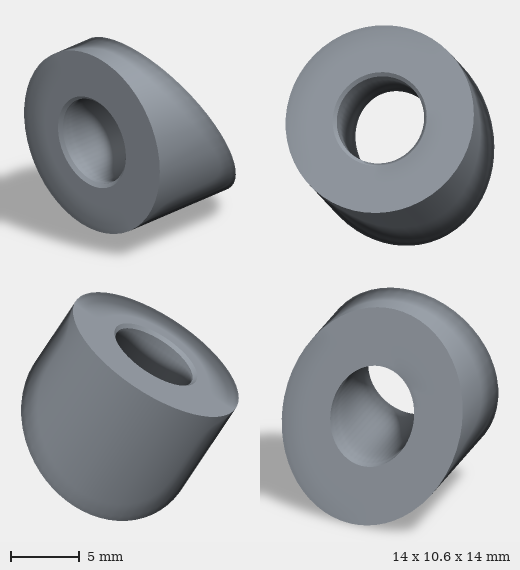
import cadquery as cq

outer_diameter = 14.0
thin_side = 3.0
thick_side = 10.6
bore_diameter = 6.5
bore_chamfer = 0.25

outer_radius = outer_diameter / 2
bore_radius = bore_diameter / 2


def sloped_cylinder():
    """Cylinder along Y with a flat face at Y = 0 and a sloped back face."""
    side_profile = (
        cq.Workplane("YZ")
        .moveTo(0, -outer_radius)
        .lineTo(thick_side, -outer_radius)
        .lineTo(thin_side, outer_radius)
        .lineTo(0, outer_radius)
        .close()
    )
    wedge = side_profile.extrude(outer_radius, both=True)
    cylinder = cq.Workplane("XZ").circle(outer_radius).extrude(-thick_side)
    return cylinder.intersect(wedge)


def chamfered_bore():
    """Through bore along Y, widened by a 45 degree chamfer at the flat face."""
    return (
        cq.Workplane("XY")
        .lineTo(bore_radius + bore_chamfer, 0)
        .lineTo(bore_radius, bore_chamfer)
        .lineTo(bore_radius, thick_side)
        .lineTo(0, thick_side)
        .close()
        .revolve(360, (0, 0, 0), (0, 1, 0))
    )


result = sloped_cylinder().cut(chamfered_bore())